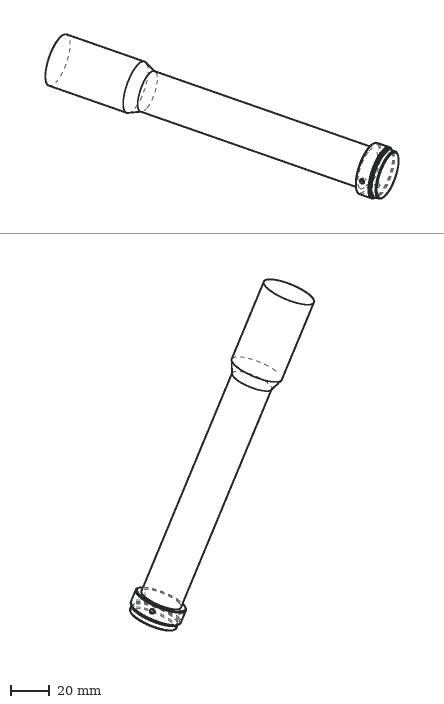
import cadquery as cq

total_length = 191.0
head_length = 45.0
taper_length = 6.9
collar_start = 179.2
collar_length = 8.2
groove_width = 0.8

head_radius = 14.04
tube_radius = 11.0
collar_radius = head_radius
groove_radius = 12.2
lip_radius = 13.0

collar_chamfer = 0.5
lip_chamfer = 0.5

hole_count = 3
hole_diameter = 2.5
hole_depth = 2.0
hole_x = 183.0
first_hole_angle = 45.0

taper_end = head_length + taper_length
collar_end = collar_start + collar_length
lip_start = collar_end + groove_width


def revolved_body():
    """Head, taper, tube, collar, groove and end lip turned about the X axis."""
    return (
        cq.Workplane("XY")
        .lineTo(0, head_radius)
        .lineTo(head_length, head_radius)
        .lineTo(taper_end, tube_radius)
        .lineTo(collar_start, tube_radius)
        .lineTo(collar_start, collar_radius - collar_chamfer)
        .lineTo(collar_start + collar_chamfer, collar_radius)
        .lineTo(collar_end - collar_chamfer, collar_radius)
        .lineTo(collar_end, collar_radius - collar_chamfer)
        .lineTo(collar_end, groove_radius)
        .lineTo(lip_start, groove_radius)
        .lineTo(lip_start, lip_radius)
        .lineTo(total_length - lip_chamfer, lip_radius)
        .lineTo(total_length, lip_radius - lip_chamfer)
        .lineTo(total_length, 0)
        .close()
        .revolve(360, (0, 0, 0), (1, 0, 0))
    )


def screw_hole(angle):
    """Blind radial hole cutter, turned about the X axis by the given angle."""
    return (
        cq.Workplane("XZ", origin=(hole_x, collar_radius, 0))
        .circle(hole_diameter / 2)
        .extrude(hole_depth)
        .rotate((0, 0, 0), (1, 0, 0), angle)
    )


result = revolved_body()
for index in range(hole_count):
    result = result.cut(screw_hole(first_hole_angle + index * 360 / hole_count))